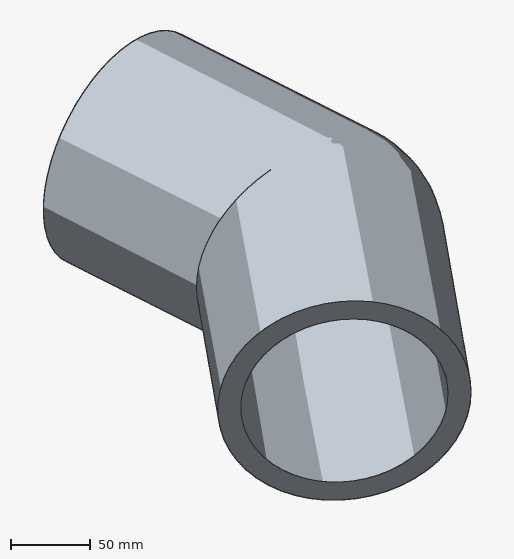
import cadquery as cq

OUTER_DIAMETER = 160.0
WALL = 14.6
BEND_ANGLE = 45.0
LEG_LENGTH = 156.5

OUTER_RADIUS = OUTER_DIAMETER / 2
BORE_RADIUS = OUTER_RADIUS - WALL


def leg(radius):
    """Round bar along -X from the corner centre at the origin."""
    return cq.Workplane("YZ").circle(radius).extrude(-LEG_LENGTH)


def outlet_leg(radius):
    """The same bar on the far side of the corner, turned by the bend angle."""
    bar = cq.Workplane("YZ").circle(radius).extrude(LEG_LENGTH)
    return bar.rotate((0, 0, 0), (0, 0, 1), -BEND_ANGLE)


def corner(radius):
    """Ball wedge filling the gap between the legs on the outside of the bend."""
    half_disc = (
        cq.Workplane("YZ")
        .moveTo(0, -radius)
        .threePointArc((radius, 0), (0, radius))
        .close()
    )
    return half_disc.revolve(BEND_ANGLE, (0, 0), (0, -1))


def elbow(radius):
    """Solid elbow with the given radius throughout."""
    return leg(radius).union(corner(radius)).union(outlet_leg(radius))


result = elbow(OUTER_RADIUS).cut(elbow(BORE_RADIUS))